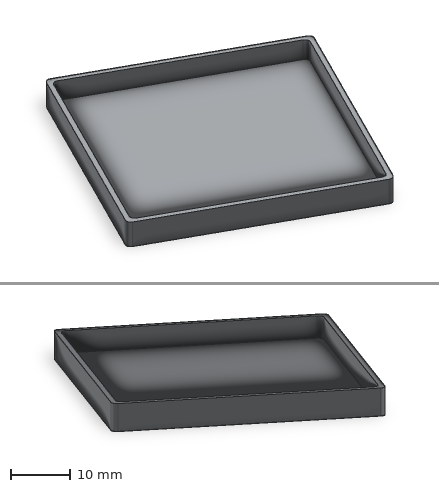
import cadquery as cq

length_x = 46.8
length_y = 47.2
height = 4.9

wall = 1.0
floor = 1.0
corner_radius = 1.0

body = (
    cq.Workplane("XY")
    .rect(length_x, length_y)
    .extrude(height)
    .edges("|Z")
    .fillet(corner_radius)
)

pocket = (
    cq.Workplane("XY")
    .workplane(offset=floor)
    .rect(length_x - 2 * wall, length_y - 2 * wall)
    .extrude(height - floor)
    .edges("|Z")
    .fillet(corner_radius)
)

result = body.cut(pocket)